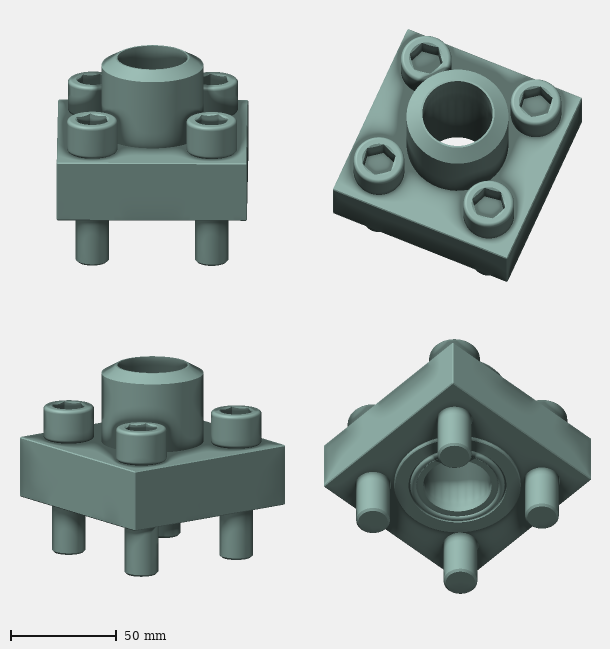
import cadquery as cq
import math

overall_span = 117.2
plate_thickness = 29.0
plate_angle = 22.5
edge_chamfer = 0.5

face_diameter = 60.0
face_height = 2.0

neck_diameter = 48.3
neck_height = 37.0
neck_tip_diameter = 35.0
neck_bevel_angle = 30.0

bore_top_diameter = 33.3
bore_bottom_diameter = 32.5
bore_top_depth = 18.5

groove_outer_diameter = 46.4
groove_inner_diameter = 38.7
ring_protrusion = 0.88
ring_section_diameter = 3.0

screw_count = 4
corner_angle = 45.0
screw_circle_diameter = 80.0
screw_length = 55.0
screw_diameter = 16.0
screw_hole_diameter = 17.0
screw_tip_chamfer = 1.0
head_diameter = 24.0
head_height = 16.1
head_fillet = 1.6
socket_sides = 6
socket_corner_diameter = 16.2
socket_depth = 10.5
socket_lead_angle = 30.0

plate_angle_radians = math.radians(plate_angle)
corner_loss = edge_chamfer * math.sin(plate_angle_radians)
plate_side = (overall_span + 2 * corner_loss) / (
    math.cos(plate_angle_radians) + math.sin(plate_angle_radians)
)
neck_top_z = plate_thickness + neck_height
neck_bevel_height = (neck_diameter - neck_tip_diameter) / 2 * math.tan(math.radians(neck_bevel_angle))
bore_taper_top_z = neck_top_z - bore_top_depth
ring_centre_radius = (groove_inner_diameter + ring_section_diameter) / 2
groove_depth = ring_section_diameter - ring_protrusion
screw_angles = [plate_angle + corner_angle + 360 / screw_count * i for i in range(screw_count)]


def at_screw(body, angle):
    """Move a body from the Z axis to the screw position at the given polar angle."""
    turned = body.rotate((0, 0, 0), (0, 0, 1), angle - screw_angles[0])
    angle_radians = math.radians(angle)
    radius = screw_circle_diameter / 2
    return turned.translate((radius * math.cos(angle_radians), radius * math.sin(angle_radians), 0))


def make_plate():
    return (
        cq.Workplane("XY")
        .rect(plate_side, plate_side)
        .extrude(plate_thickness)
        .edges()
        .chamfer(edge_chamfer)
        .rotate((0, 0, 0), (0, 0, 1), plate_angle)
    )


def make_raised_face():
    return (
        cq.Workplane("XY")
        .circle(face_diameter / 2)
        .extrude(-face_height)
        .faces("<Z")
        .chamfer(edge_chamfer)
    )


def make_neck():
    profile = [
        (0, plate_thickness),
        (neck_diameter / 2, plate_thickness),
        (neck_diameter / 2, neck_top_z - neck_bevel_height),
        (neck_tip_diameter / 2, neck_top_z),
        (0, neck_top_z),
    ]
    return cq.Workplane("XZ").polyline(profile).close().revolve(360, (0, 0), (0, 1))


def make_bore():
    profile = [
        (0, -face_height),
        (bore_bottom_diameter / 2, -face_height),
        (bore_top_diameter / 2, bore_taper_top_z),
        (bore_top_diameter / 2, neck_top_z),
        (0, neck_top_z),
    ]
    return cq.Workplane("XZ").polyline(profile).close().revolve(360, (0, 0), (0, 1))


def make_groove():
    return (
        cq.Workplane("XY", origin=(0, 0, -face_height))
        .circle(groove_outer_diameter / 2)
        .circle(groove_inner_diameter / 2)
        .extrude(groove_depth)
    )


def make_flange():
    flange = make_plate().union(make_raised_face()).union(make_neck())
    flange = flange.cut(make_bore()).cut(make_groove())
    screw_hole = cq.Workplane("XY").circle(screw_hole_diameter / 2).extrude(plate_thickness)
    for angle in screw_angles:
        flange = flange.cut(at_screw(screw_hole, angle))
    return flange


def make_seal_ring():
    centre_z = -face_height - ring_protrusion + ring_section_diameter / 2
    return (
        cq.Workplane("XZ")
        .center(ring_centre_radius, centre_z)
        .circle(ring_section_diameter / 2)
        .revolve(360, (-ring_centre_radius, 0), (-ring_centre_radius, 1))
    )


def make_socket():
    """Hexagonal recess with a conical lead-in at the head's top face."""
    head_top_z = plate_thickness + head_height
    hexagon = (
        cq.Workplane("XY", origin=(0, 0, head_top_z))
        .polygon(socket_sides, socket_corner_diameter)
        .extrude(-socket_depth)
    )
    lead_radius = socket_corner_diameter / 2
    lead_depth = lead_radius * math.tan(math.radians(socket_lead_angle))
    lead_in = cq.Workplane(
        cq.Solid.makeCone(0, lead_radius, lead_depth, pnt=cq.Vector(0, 0, head_top_z - lead_depth))
    )
    return hexagon.union(lead_in)


def make_screw():
    head = (
        cq.Workplane("XY", origin=(0, 0, plate_thickness))
        .circle(head_diameter / 2)
        .extrude(head_height)
        .faces(">Z")
        .edges()
        .fillet(head_fillet)
        .faces("<Z")
        .edges()
        .fillet(head_fillet)
    )
    shank = (
        cq.Workplane("XY", origin=(0, 0, plate_thickness))
        .circle(screw_diameter / 2)
        .extrude(-screw_length)
        .faces("<Z")
        .chamfer(screw_tip_chamfer)
    )
    return head.union(shank).cut(make_socket())


flange = make_flange()
seal_ring = make_seal_ring()
screw = make_screw()
screws = [at_screw(screw, angle) for angle in screw_angles]

result = cq.Compound.makeCompound(
    [flange.val(), seal_ring.val(), *[placed.val() for placed in screws]]
)